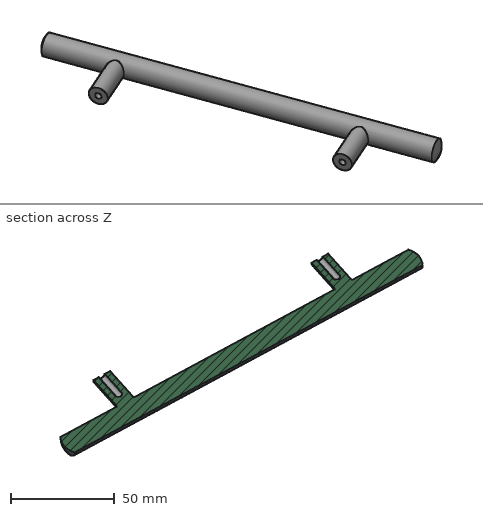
import cadquery as cq
import math

length = 208.0
depth = 32.0
bar_diameter = 12.0
dome_height = 1.9
post_spacing = 128.0
post_diameter = 10.0
hole_diameter = 3.3
hole_depth = 15.0
drill_point_angle = 118.0

bar_radius = bar_diameter / 2
half_length = length / 2
shoulder_x = half_length - dome_height
dome_radius = (bar_radius**2 + dome_height**2) / (2 * dome_height)
mid_radius = bar_radius / 2
mid_x = half_length - dome_radius + math.sqrt(dome_radius**2 - mid_radius**2)
post_length = depth - bar_radius
hole_radius = hole_diameter / 2
drill_point_height = hole_radius / math.tan(math.radians(drill_point_angle / 2))


def make_bar():
    """Revolve the half profile around X, with a spherical cap at each end."""
    return (
        cq.Workplane("XY")
        .moveTo(-half_length, 0)
        .threePointArc((-mid_x, mid_radius), (-shoulder_x, bar_radius))
        .lineTo(shoulder_x, bar_radius)
        .threePointArc((mid_x, mid_radius), (half_length, 0))
        .close()
        .revolve(360, (0, 0, 0), (1, 0, 0))
    )


def make_post(x):
    """Cylinder from the foot plane to the bar's axis."""
    foot = cq.Vector(x, -post_length, 0)
    return cq.Workplane(cq.Solid.makeCylinder(post_diameter / 2, post_length, foot, cq.Vector(0, 1, 0)))


def make_screw_hole(x):
    """Blind hole from the foot plane, ending in a drill point."""
    return (
        cq.Workplane("XY")
        .moveTo(x, -post_length)
        .lineTo(x + hole_radius, -post_length)
        .lineTo(x + hole_radius, -post_length + hole_depth)
        .lineTo(x, -post_length + hole_depth + drill_point_height)
        .close()
        .revolve(360, (x, 0, 0), (x, 1, 0))
    )


result = make_bar()
for post_x in (-post_spacing / 2, post_spacing / 2):
    result = result.union(make_post(post_x)).cut(make_screw_hole(post_x))